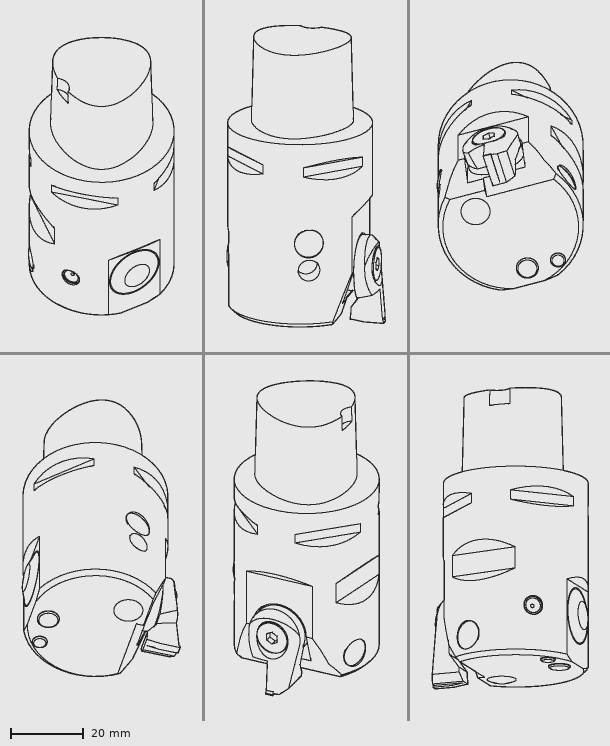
import cadquery as cq
import math


HEAD_RADIUS = 20.0
HEAD_BOTTOM = -53.2
BOTTOM_CHAMFER = 1.3
CUT_MARGIN = 4.0

SHANK_HEIGHT = 24.0
SHANK_RADIUS = 14.0
SHANK_LOBE = 1.0
SHANK_TAPER = 1 / 40
LOBE_COUNT = 3
LOBE_SPAN = 45.0
SPAN_POINTS = 5
KEYWAY_RADIUS = 3.8
KEYWAY_BOTTOM_Y = -10.8
KEYWAY_HEIGHT = 4.4

GRIPPER_DISTANCE = 17.6
GRIPPER_TOP = -6.7
GRIPPER_HEIGHT = 2.6
GRIPPER_FLANK = 30.0
GRIPPER_COUNT = 4
GRIPPER_AZIMUTH = 45.0

FLAT_DISTANCE = 17.3
FLAT_TOP = -22.9
FLAT_FLANK = 45.0
WRENCH_HEIGHT = 6.0
WRENCH_AZIMUTH = 260.0
DIAL_FLAT_DISTANCE = 18.2
DIAL_FLAT_TOP = -30.6

SLIDE_Z = -39.2
SLIDE_RADIUS = 7.8
RELIEF_ANGLE = 18.2
POCKET_TOP = -47.8
POCKET_ANGLE = 35.0
POCKET_SIDE_Y = 3.8
SLOT_RADIUS = 8.2
SLOT_FLOOR_X = -14.2

SIDE_HOLE_DIAMETER = 6.0
SIDE_HOLE_DEPTH = 6.4
SIDE_HOLE_AZIMUTH = 111.3
SIDE_HOLE_Z = -36.5

PADS = [(13.2, -1.0, 6.1), (13.2, -9.8, 4.2)]
PAD_HEIGHT = 0.6
PAD_CHAMFER = 0.4

CAP_DIAMETER = 8.0
CAP_LENGTH = 3.2
CAP_DOME = 1.0
SIDE_CAP_RIM = 19.4
FRONT_CAP_AZIMUTH = 248.5
FRONT_CAP_Z = -46.6
REAR_CAP_AZIMUTH = SIDE_HOLE_AZIMUTH
REAR_CAP_Z = -28.8
BOTTOM_CAP_XY = (-7.2, 8.0)

NIPPLE_AZIMUTH = 305.0
NIPPLE_DIAMETER = 5.0
NIPPLE_FACE = 19.4
NIPPLE_LENGTH = 4.0
NIPPLE_CUP_DIAMETER = 4.2
NIPPLE_CUP_DEPTH = 0.8
NIPPLE_BORE = 1.0
NIPPLE_MOUTH = 5.3

SLIDE_FACE_X = -17.2
DIAL_BASE_RADIUS = 7.5
DIAL_STEP_RADIUS = 5.4
DIAL_STEP_X = 19.2
DIAL_END_RADIUS = 3.9
DIAL_END_X = 19.8

ARM_LEAN = 4.6
ARM_FRONT_X = -22.4
ARM_FRONT_RADIUS = 16.0
CROWN_EDGE_X = -20.5
ARM_EDGE_ANGLE = 10.2
ARM_CORNER_Z = -53.4
ARM_BOTTOM = -55.5
ARM_SIDE_Y = 1.0
NOTCH_FRONT_Z = -46.3
NOTCH_BACK_Z = -48.1
ARM_TOE_Y = -3.0
CHEEK_MIDDLE_Y = 6.4
CHEEK_MIDDLE_Z = -45.6
CHEEK_END_Y = 4.6
FOOT_SLOPE_TOP = -48.4
FOOT_SLOPE_BOTTOM = -52.1
FOOT_BACK_X = -14.6
FOOT_HEEL_X = -14.4
TIP_WIDTH = 2.2
TIP_X = -24.0
TIP_FLARE_X = -23.5
TIP_FLARE_Z = -54.6
TIP_EDGE_Z = -55.7
TIP_LAND_X = -18.4
TIP_HEEL_X = -15.0
TIP_BOTTOM = -56.0

SCREW_HEAD_DIAMETER = 9.2
SCREW_FACE_X = -22.0
SCREW_SEAT_X = -19.0
SCREW_SHANK_DIAMETER = 5.0
SCREW_END_X = -8.0
SOCKET_FLATS = 3.2
SOCKET_DEPTH = 2.0
HEAD_RECESS_DIAMETER = 9.4
SINK_START_X = -21.6


def tan(degrees):
    return math.tan(math.radians(degrees))


def point_outward(body, azimuth, z):
    """Turn a body made along +Z so that it points outward from the head axis."""
    outward = body.rotate((0, 0, 0), (0, 1, 0), 90)
    return outward.rotate((0, 0, 0), (0, 0, 1), azimuth).translate((0, 0, z))


def x_cylinder(diameter, x_start, x_end):
    """Cylinder on the slide axis."""
    disc = cq.Workplane("YZ", origin=(x_start, 0, SLIDE_Z)).circle(diameter / 2)
    return disc.extrude(x_end - x_start)


def revolve_on_x(points):
    """Revolve (x, radius) points about the slide axis."""
    profile = cq.Workplane("XZ", origin=(0, 0, SLIDE_Z)).polyline(points).close()
    return profile.revolve(360, (0, 0, 0), (1, 0, 0))



def shank_point(radius, degrees):
    """Point of the three-lobed curve; a lobe points to +Y."""
    t = math.radians(degrees)
    along = radius * math.cos(t) + SHANK_LOBE * math.cos(2 * t)
    across = radius * math.sin(t) - SHANK_LOBE * math.sin(2 * t)
    return (-across, along)


def shank_wire(radius, z):
    lobe_pitch = 360.0 / LOBE_COUNT
    edges = []
    for lobe in range(LOBE_COUNT):
        start = lobe * lobe_pitch - LOBE_SPAN / 2
        for first, span in ((start, LOBE_SPAN), (start + LOBE_SPAN, lobe_pitch - LOBE_SPAN)):
            curve = [shank_point(radius, first + span * i / (SPAN_POINTS - 1)) for i in range(SPAN_POINTS)]
            edges.append(cq.Edge.makeSpline([cq.Vector(x, y, z) for x, y in curve]))
    return cq.Wire.assembleEdges(edges)


def make_shank():
    top_radius = SHANK_RADIUS - SHANK_TAPER * SHANK_HEIGHT
    wires = [shank_wire(SHANK_RADIUS, 0), shank_wire(top_radius, SHANK_HEIGHT)]
    shank = cq.Workplane(cq.Solid.makeLoft(wires, True))
    keyway = (
        cq.Workplane("XY", origin=(0, KEYWAY_BOTTOM_Y - KEYWAY_RADIUS, SHANK_HEIGHT - KEYWAY_HEIGHT))
        .circle(KEYWAY_RADIUS)
        .extrude(KEYWAY_HEIGHT + CUT_MARGIN)
    )
    return shank.cut(keyway)


def side_prism(points, azimuth):
    """Tool wider than the head, from (distance, z) points, facing the given azimuth."""
    prism = cq.Workplane("XZ").polyline(points).close().extrude(HEAD_RADIUS, both=True)
    return prism.rotate((0, 0, 0), (0, 0, 1), azimuth)


def groove_tool(azimuth, distance, top, height, flank):
    """Flat-bottomed groove across the side of the head, with sloping flanks."""
    outside = HEAD_RADIUS + CUT_MARGIN
    rise = (outside - distance) * tan(flank)
    bottom = top - height
    points = [(distance, bottom), (distance, top), (outside, top + rise), (outside, bottom - rise)]
    return side_prism(points, azimuth)


def tool_flat_tool():
    """Flat on the -X side that slopes inward below the slide axis."""
    outside = HEAD_RADIUS + CUT_MARGIN
    below = HEAD_BOTTOM - CUT_MARGIN
    points = [
        (FLAT_DISTANCE, SLIDE_Z),
        (FLAT_DISTANCE, FLAT_TOP),
        (outside, FLAT_TOP + (outside - FLAT_DISTANCE) * tan(FLAT_FLANK)),
        (outside, below),
        (FLAT_DISTANCE - (SLIDE_Z - below) * tan(RELIEF_ANGLE), below),
    ]
    return side_prism(points, 180)


def chip_pocket_tool():
    """Steeper relief below the tool flat, on the -Y part of the head."""
    below = HEAD_BOTTOM - CUT_MARGIN
    top_x = -FLAT_DISTANCE + (SLIDE_Z - POCKET_TOP) * tan(RELIEF_ANGLE)
    points = [
        (top_x, POCKET_TOP),
        (top_x + (POCKET_TOP - below) * tan(POCKET_ANGLE), below),
        (-HEAD_RADIUS - CUT_MARGIN, below),
        (-HEAD_RADIUS - CUT_MARGIN, POCKET_TOP),
    ]
    pocket = cq.Workplane("XZ", origin=(0, POCKET_SIDE_Y, 0)).polyline(points).close()
    return pocket.extrude(2 * HEAD_RADIUS)


def slide_slot_tool():
    """Round-topped slot around the slide, open downward."""
    length = HEAD_RADIUS + SLOT_FLOOR_X
    round_top = x_cylinder(2 * SLOT_RADIUS, -HEAD_RADIUS, SLOT_FLOOR_X)
    drop = SLIDE_Z - HEAD_BOTTOM
    lower = cq.Workplane("XY").box(length, 2 * SLOT_RADIUS, drop, centered=(False, True, False))
    return round_top.union(lower.translate((-HEAD_RADIUS, 0, HEAD_BOTTOM)))


def nipple_hole_tool():
    hole = cq.Workplane("XY", origin=(0, 0, NIPPLE_FACE - NIPPLE_LENGTH)).circle(NIPPLE_DIAMETER / 2)
    mouth = cq.Workplane("XY", origin=(0, 0, NIPPLE_FACE)).circle(NIPPLE_MOUTH / 2)
    tool = hole.extrude(NIPPLE_LENGTH).union(mouth.extrude(CUT_MARGIN))
    return point_outward(tool, NIPPLE_AZIMUTH, SLIDE_Z)


def side_hole_tool():
    start = HEAD_RADIUS - SIDE_HOLE_DEPTH
    hole = cq.Workplane("XY", origin=(0, 0, start)).circle(SIDE_HOLE_DIAMETER / 2)
    return point_outward(hole.extrude(SIDE_HOLE_DEPTH + CUT_MARGIN), SIDE_HOLE_AZIMUTH, SIDE_HOLE_Z)


def make_pad(x, y, diameter):
    pad = cq.Workplane("XY", origin=(x, y, HEAD_BOTTOM)).circle(diameter / 2).extrude(-PAD_HEIGHT)
    return pad.faces("<Z").chamfer(PAD_CHAMFER)


def make_housing():
    housing = cq.Workplane("XY").circle(HEAD_RADIUS).extrude(HEAD_BOTTOM)
    housing = housing.faces("<Z").chamfer(BOTTOM_CHAMFER)
    for i in range(GRIPPER_COUNT):
        azimuth = GRIPPER_AZIMUTH + i * 360 / GRIPPER_COUNT
        housing = housing.cut(
            groove_tool(azimuth, GRIPPER_DISTANCE, GRIPPER_TOP, GRIPPER_HEIGHT, GRIPPER_FLANK)
        )
    housing = housing.cut(groove_tool(WRENCH_AZIMUTH, FLAT_DISTANCE, FLAT_TOP, WRENCH_HEIGHT, FLAT_FLANK))
    dial_flat_height = DIAL_FLAT_TOP - HEAD_BOTTOM + CUT_MARGIN
    housing = housing.cut(groove_tool(0, DIAL_FLAT_DISTANCE, DIAL_FLAT_TOP, dial_flat_height, FLAT_FLANK))
    housing = housing.cut(tool_flat_tool()).cut(chip_pocket_tool()).cut(slide_slot_tool())
    housing = housing.cut(x_cylinder(2 * SLIDE_RADIUS, -HEAD_RADIUS, HEAD_RADIUS))
    housing = housing.cut(side_hole_tool()).cut(nipple_hole_tool())
    for place in CAP_PLACES:
        hole = cq.Workplane("XY", origin=(0, 0, -CAP_LENGTH)).circle(CAP_DIAMETER / 2)
        housing = housing.cut(place(hole.extrude(CAP_LENGTH + CAP_DOME)))
    for x, y, diameter in PADS:
        housing = housing.union(make_pad(x, y, diameter))
    return housing.union(make_shank())



def make_cap():
    """Domed cap with its rim at z = 0 and its dome upward."""
    radius = CAP_DIAMETER / 2
    dome_radius = (radius**2 + CAP_DOME**2) / (2 * CAP_DOME)
    half_angle = math.asin(radius / dome_radius) / 2
    middle = (
        dome_radius * math.sin(half_angle),
        CAP_DOME - dome_radius * (1 - math.cos(half_angle)),
    )
    profile = (
        cq.Workplane("XZ")
        .moveTo(0, -CAP_LENGTH)
        .lineTo(radius, -CAP_LENGTH)
        .lineTo(radius, 0)
        .threePointArc(middle, (0, CAP_DOME))
        .close()
    )
    return profile.revolve(360, (0, 0, 0), (0, 1, 0))


def place_front_cap(body):
    return point_outward(body.translate((0, 0, SIDE_CAP_RIM)), FRONT_CAP_AZIMUTH, FRONT_CAP_Z)


def place_rear_cap(body):
    return point_outward(body.translate((0, 0, SIDE_CAP_RIM)), REAR_CAP_AZIMUTH, REAR_CAP_Z)


def place_bottom_cap(body):
    x, y = BOTTOM_CAP_XY
    return body.rotate((0, 0, 0), (1, 0, 0), 180).translate((x, y, HEAD_BOTTOM))


CAP_PLACES = [place_front_cap, place_rear_cap, place_bottom_cap]



def make_nipple():
    """Plug with a conical cup that leads into a fine bore."""
    bottom = NIPPLE_FACE - NIPPLE_LENGTH
    bore = NIPPLE_BORE / 2
    profile = [
        (bore, bottom),
        (NIPPLE_DIAMETER / 2, bottom),
        (NIPPLE_DIAMETER / 2, NIPPLE_FACE),
        (NIPPLE_CUP_DIAMETER / 2, NIPPLE_FACE),
        (bore, NIPPLE_FACE - NIPPLE_CUP_DEPTH),
    ]
    nipple = cq.Workplane("XZ").polyline(profile).close().revolve(360, (0, 0, 0), (0, 1, 0))
    return point_outward(nipple, NIPPLE_AZIMUTH, SLIDE_Z)



def make_slide():
    slide = revolve_on_x([
        (SLIDE_FACE_X, 0),
        (SLIDE_FACE_X, SLIDE_RADIUS),
        (DIAL_FLAT_DISTANCE, SLIDE_RADIUS),
        (DIAL_FLAT_DISTANCE, DIAL_BASE_RADIUS),
        (DIAL_STEP_X, DIAL_STEP_RADIUS),
        (DIAL_END_X, DIAL_END_RADIUS),
        (DIAL_END_X, 0),
    ])
    return slide.cut(x_cylinder(SCREW_SHANK_DIAMETER, SLIDE_FACE_X, SCREW_END_X))



def lean(body):
    """Tilt a body about the point where the arm front crosses the screw axis."""
    start = (ARM_FRONT_X, 0, SLIDE_Z)
    end = (ARM_FRONT_X, 1, SLIDE_Z)
    return body.rotate(start, end, ARM_LEAN)


def arm_blank():
    """Round eye with a tapering arm below it, as a prism along X."""
    slope = math.radians(ARM_EDGE_ANGLE)
    tangent = (-SLIDE_RADIUS * math.cos(slope), SLIDE_Z - SLIDE_RADIUS * math.sin(slope))
    corner = (tangent[0] + (tangent[1] - ARM_CORNER_Z) * math.tan(slope), ARM_CORNER_Z)
    outline = (
        cq.Workplane("YZ", origin=(FOOT_HEEL_X, 0, 0))
        .moveTo(*tangent)
        .threePointArc((0, SLIDE_Z + SLIDE_RADIUS), (SLIDE_RADIUS, SLIDE_Z))
        .threePointArc((CHEEK_MIDDLE_Y, CHEEK_MIDDLE_Z), (CHEEK_END_Y, NOTCH_BACK_Z))
        .lineTo(ARM_SIDE_Y, NOTCH_BACK_Z)
        .lineTo(ARM_SIDE_Y, ARM_BOTTOM)
        .lineTo(ARM_TOE_Y, ARM_BOTTOM)
        .lineTo(*corner)
        .close()
    )
    return outline.extrude(TIP_X - CUT_MARGIN - FOOT_HEEL_X)


def arm_side_limits():
    """Prism along Y that bounds the arm from behind: straight, then stepped back above the foot."""
    front_x = TIP_X - CUT_MARGIN
    top = SLIDE_Z + SLIDE_RADIUS
    points = [
        (front_x, top),
        (SLIDE_FACE_X, top),
        (SLIDE_FACE_X, FOOT_SLOPE_TOP),
        (FOOT_BACK_X, FOOT_SLOPE_BOTTOM),
        (FOOT_BACK_X, ARM_CORNER_Z),
        (FOOT_HEEL_X, ARM_BOTTOM),
        (front_x, ARM_BOTTOM),
    ]
    return cq.Workplane("XZ").polyline(points).close().extrude(SLIDE_RADIUS, both=True)


def notch_tool():
    """Chip space under the eye, on the cutting side of the arm."""
    slope = (NOTCH_FRONT_Z - NOTCH_BACK_Z) / (SLIDE_FACE_X - ARM_FRONT_X)
    front_x = TIP_X - CUT_MARGIN
    front_z = NOTCH_BACK_Z + slope * (SLIDE_FACE_X - front_x)
    points = [
        (front_x, front_z),
        (SLIDE_FACE_X, NOTCH_BACK_Z),
        (FOOT_HEEL_X, NOTCH_BACK_Z),
        (FOOT_HEEL_X, TIP_BOTTOM),
        (front_x, TIP_BOTTOM),
    ]
    notch = cq.Workplane("XZ", origin=(0, ARM_SIDE_Y, 0)).polyline(points).close()
    return notch.extrude(-SLIDE_RADIUS)


def crown_tool():
    """45-degree chamfer around the upper half of the eye, square to the leaning front."""
    inside = CROWN_EDGE_X - SLIDE_RADIUS
    outer = SLIDE_RADIUS + CUT_MARGIN
    ring = revolve_on_x([(CROWN_EDGE_X + CUT_MARGIN, outer), (inside, outer), (inside, 0)])
    upper_half = cq.Workplane("XY", origin=(0, 0, SLIDE_Z)).box(
        4 * HEAD_RADIUS, 4 * HEAD_RADIUS, 2 * outer, centered=(True, True, False)
    )
    return lean(ring.intersect(upper_half))


def screw_recess_tool():
    """Clearance for the screw, opening into a 45-degree cone at the front."""
    head = HEAD_RECESS_DIAMETER / 2
    shank = SCREW_SHANK_DIAMETER / 2
    front_x = TIP_X - CUT_MARGIN
    return revolve_on_x([
        (FOOT_HEEL_X, 0),
        (FOOT_HEEL_X, shank),
        (SCREW_SEAT_X, shank),
        (SCREW_SEAT_X, head),
        (SINK_START_X, head),
        (front_x, head + SINK_START_X - front_x),
        (front_x, 0),
    ])


def make_tip():
    """Narrow cutting tip at the lower end of the arm, with clearance behind its edge."""
    points = [
        (ARM_FRONT_X, TIP_FLARE_Z),
        (TIP_FLARE_X, TIP_FLARE_Z),
        (TIP_X, TIP_EDGE_Z),
        (TIP_X, TIP_BOTTOM),
        (TIP_LAND_X, TIP_BOTTOM),
        (TIP_HEEL_X, ARM_BOTTOM),
        (TIP_HEEL_X, TIP_FLARE_Z),
    ]
    tip = cq.Workplane("XZ", origin=(0, ARM_SIDE_Y, 0)).polyline(points).close()
    return tip.extrude(TIP_WIDTH)


def make_insert():
    front = lean(
        cq.Workplane("XY", origin=(ARM_FRONT_X + ARM_FRONT_RADIUS, 0, SLIDE_Z))
        .circle(ARM_FRONT_RADIUS)
        .extrude(2 * HEAD_RADIUS, both=True)
    )
    insert = arm_blank().intersect(arm_side_limits()).intersect(front)
    insert = insert.cut(notch_tool()).cut(crown_tool()).cut(screw_recess_tool())
    return insert.union(make_tip())



def make_screw():
    head = x_cylinder(SCREW_HEAD_DIAMETER, SCREW_FACE_X, SCREW_SEAT_X)
    shank = x_cylinder(SCREW_SHANK_DIAMETER, SCREW_SEAT_X, SCREW_END_X)
    across_corners = SOCKET_FLATS / math.cos(math.radians(30))
    socket = cq.Workplane("YZ", origin=(SCREW_FACE_X, 0, SLIDE_Z)).polygon(6, across_corners)
    socket = socket.extrude(SOCKET_DEPTH).rotate((0, 0, SLIDE_Z), (1, 0, SLIDE_Z), 90)
    return head.union(shank).cut(socket)


housing = make_housing()
slide = make_slide()
insert = make_insert()
screw = make_screw()
nipple = make_nipple()
caps = [place(make_cap()).val() for place in CAP_PLACES]

result = cq.Compound.makeCompound(
    [housing.val(), slide.val(), insert.val(), screw.val(), nipple.val(), *caps]
)